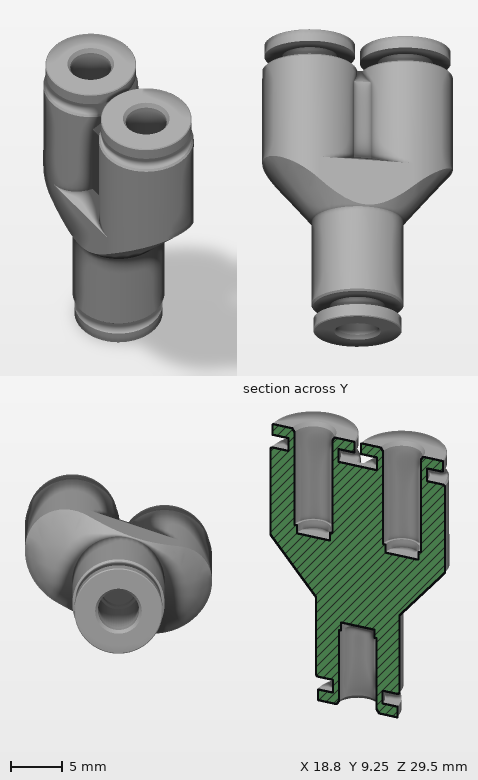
import cadquery as cq

total_height = 29.5
total_width = 18.75
barrel_diameter = 9.25
barrel_radius = barrel_diameter / 2
barrel_offset = (total_width - barrel_diameter) / 2

collar_thickness = 1.25
neck_length = 1.35
neck_diameter = 5.4
upper_collar_diameter = 8.85
lower_collar_diameter = 8.6
collar_chamfer = 0.1

port_recess = collar_thickness + neck_length
body_bottom = port_recess
body_top = total_height - port_recess
cone_bottom = 11.35
cone_top = 17.17
stem_diameter = 9.0
body_chamfer = 0.18

web_half_thickness = 2.48
web_shoulder_top = cone_top
web_shoulder_bottom = 16.17
web_bevel_bottom = 25.1
web_top_half_thickness = 0.68

bore_diameter = 4.0
stop_diameter = 3.5
mouth_diameter = 4.55
mouth_depth = 0.4
upper_bore_depth = 10.62
lower_bore_depth = 8.25
stop_depth = 0.88


def cylinder(diameter, bottom, top, x=0):
    """Vertical cylinder between two levels."""
    return cq.Workplane("XY", origin=(x, 0, bottom)).circle(diameter / 2).extrude(top - bottom)


def web():
    """Symmetric stepped web, reaching from one barrel axis to the other."""
    right_side = [
        (barrel_radius, cone_bottom),
        (barrel_radius, web_shoulder_bottom),
        (web_half_thickness, web_shoulder_top),
        (web_half_thickness, web_bevel_bottom),
        (web_top_half_thickness, body_top),
    ]
    left_side = [(-y, z) for y, z in reversed(right_side)]
    profile = cq.Workplane("YZ").polyline(right_side + left_side).close()
    return profile.extrude(barrel_offset, both=True)


def cone_envelope():
    """Conical taper with a straight cylinder above it, bounding the barrels."""
    outer_radius = total_width / 2
    profile = [
        (0, cone_bottom),
        (stem_diameter / 2, cone_bottom),
        (outer_radius, cone_top),
        (outer_radius, body_top),
        (0, body_top),
    ]
    return cq.Workplane("XZ").polyline(profile).close().revolve(360, (0, 0), (0, 1))


def body():
    """Twin barrels and web, tapering into the single lower stem."""
    twin = web()
    for x in (-barrel_offset, barrel_offset):
        barrel = cylinder(barrel_diameter, cone_bottom, body_top, x)
        twin = twin.union(barrel.faces(">Z").chamfer(body_chamfer))
    stem = cylinder(stem_diameter, body_bottom, cone_bottom).faces("<Z").chamfer(body_chamfer)
    return twin.intersect(cone_envelope()).union(stem)


def collar(diameter):
    """Neck and flange of an upward-facing port, with the outer end at Z = 0."""
    flange = cylinder(diameter, -collar_thickness, 0).faces(">Z").chamfer(collar_chamfer)
    return flange.union(cylinder(neck_diameter, -port_recess, -collar_thickness))


def socket(bore_depth):
    """Volume of an upward-facing tube socket, with its mouth at Z = 0."""
    profile = [
        (0, 0),
        (mouth_diameter / 2, 0),
        (bore_diameter / 2, -mouth_depth),
        (bore_diameter / 2, -bore_depth),
        (stop_diameter / 2, -bore_depth),
        (stop_diameter / 2, -bore_depth - stop_depth),
        (0, -bore_depth - stop_depth),
    ]
    return cq.Workplane("XZ").polyline(profile).close().revolve(360, (0, 0), (0, 1))


result = body()

for x in (-barrel_offset, barrel_offset):
    port_end = (x, 0, total_height)
    result = result.union(collar(upper_collar_diameter).translate(port_end))
    result = result.cut(socket(upper_bore_depth).translate(port_end))

result = result.union(collar(lower_collar_diameter).mirror("XY"))
result = result.cut(socket(lower_bore_depth).mirror("XY"))